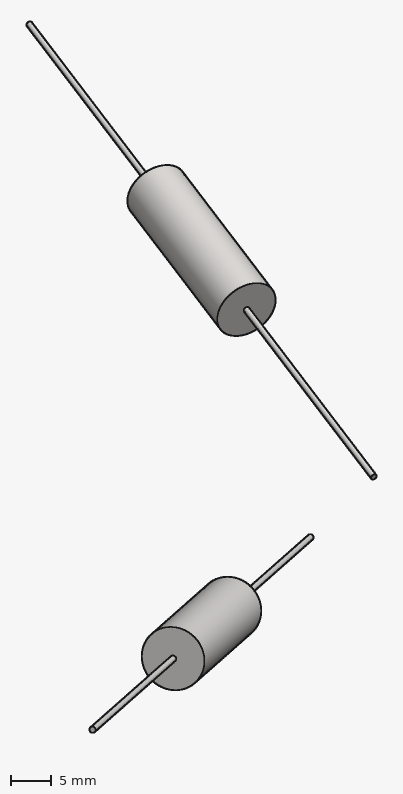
import cadquery as cq

overall_length = 94.5
body_length = 24.7
body_diameter = 8.0
lead_diameter = 0.8

lead_length = (overall_length - body_length) / 2


def make_body():
    """Plain cylinder, centred on the origin."""
    return (
        cq.Workplane("YZ", origin=(-body_length / 2, 0, 0))
        .circle(body_diameter / 2)
        .extrude(body_length)
    )


def make_lead(side):
    """Round wire that starts on one end face of the body; side is -1 or +1 along X."""
    return (
        cq.Workplane("YZ", origin=(side * body_length / 2, 0, 0))
        .circle(lead_diameter / 2)
        .extrude(side * lead_length)
    )


body = make_body()
leads = [make_lead(side) for side in (-1, 1)]

result = cq.Compound.makeCompound([body.val(), *[lead.val() for lead in leads]])